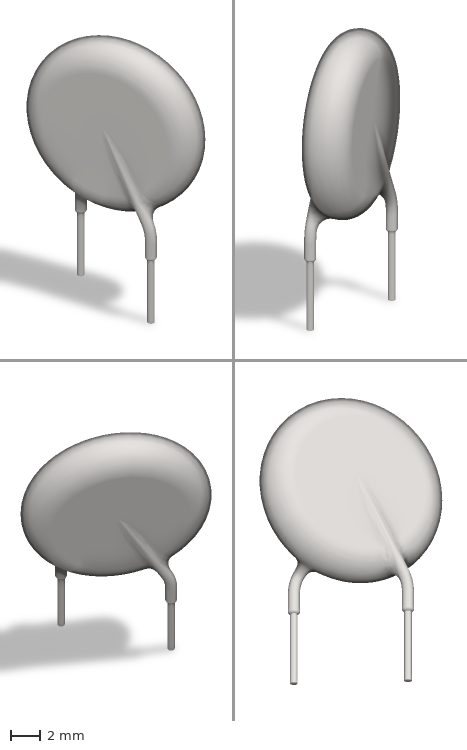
import cadquery as cq
import math

disc_diameter = 13.18
disc_thickness = 3.5

lead_offset_x = 3.5
wire_diameter = 0.52
wire_bottom_z = -14.0
coating_diameter = 0.82
depth_over_leads = 4.26
lead_offset_y = (depth_over_leads - coating_diameter) / 2
coating_bottom_z = -8.96
coating_end_fillet = 0.2

bend_radius = 3.0
bend_bottom_z = -7.48
lean_angle = 27.0
sink_angle = 6.0
slant_length = 7.83
meniscus_radius = 0.99


def make_disc():
    """Round disc with a fully rounded rim."""
    flat_radius = (disc_diameter - disc_thickness) / 2
    half_thickness = disc_thickness / 2
    return (
        cq.Workplane("XY")
        .moveTo(0, -half_thickness)
        .lineTo(flat_radius, -half_thickness)
        .threePointArc((disc_diameter / 2, 0), (flat_radius, half_thickness))
        .lineTo(0, half_thickness)
        .close()
        .revolve(360, (0, 0, 0), (0, 1, 0))
    )


def make_coated_lead():
    """Coated length of the front lead: vertical leg, bend and slanted top."""
    heading = math.radians(sink_angle)
    lean = math.radians(lean_angle)
    across = cq.Vector(-math.cos(heading), math.sin(heading), 0)
    bend_plane = cq.Plane(
        origin=(lead_offset_x, -lead_offset_y, 0),
        xDir=across,
        normal=across.cross(cq.Vector(0, 0, 1)),
    )

    def bend_point(turn):
        """Point on the bend after turning this far from vertical."""
        inward = bend_radius * (1 - math.cos(turn))
        height = bend_bottom_z + bend_radius * math.sin(turn)
        return (inward, height)

    bend_top = bend_point(lean)
    slant_top = (
        bend_top[0] + slant_length * math.sin(lean),
        bend_top[1] + slant_length * math.cos(lean),
    )
    path = (
        cq.Workplane(bend_plane)
        .moveTo(0, coating_bottom_z)
        .lineTo(0, bend_bottom_z)
        .threePointArc(bend_point(lean / 2), bend_top)
        .lineTo(*slant_top)
    )
    return (
        cq.Workplane("XY", origin=(lead_offset_x, -lead_offset_y, coating_bottom_z))
        .circle(coating_diameter / 2)
        .sweep(path)
        .faces("<Z")
        .edges()
        .fillet(coating_end_fillet)
    )


def make_wire():
    """Bare wire of the front lead, ending inside the coating."""
    return (
        cq.Workplane("XY", origin=(lead_offset_x, -lead_offset_y, wire_bottom_z))
        .circle(wire_diameter / 2)
        .extrude(bend_bottom_z - wire_bottom_z)
    )


def opposite(lead_part):
    """The same lead part on the other face, half a turn about Z."""
    return lead_part.rotate((0, 0, 0), (0, 0, 1), 180)


coated_lead = make_coated_lead()
wire = make_wire()
body = make_disc().union(coated_lead).union(opposite(coated_lead))
contact_edges = body.edges("%ELLIPSE").add(body.edges("%BSPLINE"))
body = contact_edges.fillet(meniscus_radius)
result = body.union(wire).union(opposite(wire))